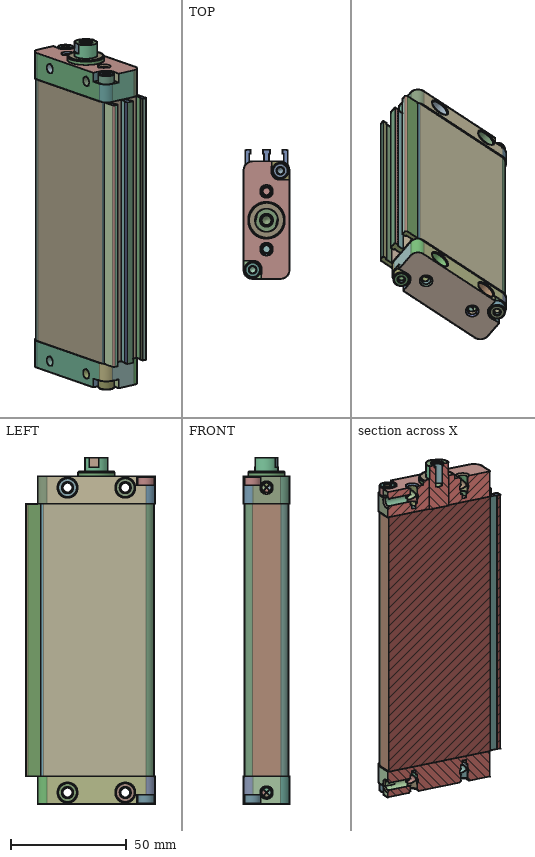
import cadquery as cq
import math

body_length = 142.0
cap_width = 20.0
cap_depth = 50.9
cap_height = 12.0
corner_radius = 4.0
barrel_inset_x = 0.4
barrel_inset_y = 0.5

rail_top_y = 30.55
rail_lip_height = 1.8
rail_side_stem_x = 7.4
rail_side_lip_x = 6.9
rail_side_inset = 0.3
rail_side_radius = 0.8
slot_floor_rise = 0.2
rail_base_y = 23.1
rail_foot_y = 24.0
rail_centre_stem_width = 2.2
rail_centre_lip_width = 3.2

pocket_depth = 4.0
pocket_radius = 4.0
pocket_wall_tilt = 6.0
screw_head_diameter = 7.0
screw_head_height = 4.0
screw_head_chamfer = 0.4
screw_hole_diameter = 3.0
screw_hole_mouth = 3.4
screw_hole_depth = 2.0

thread_diameter = 4.13
thread_mouth = 5.6
side_hole_mouth = 5.0
drill_point_angle = 118.0
hole_offset_y = 12.5
hole_height = 5.0
cap_hole_depth = 8.0
cap_hole_tip_diameter = 3.3
cap_hole_tip_depth = 10.0
counterbore_diameter = 8.0
counterbore_mouth = 8.8
counterbore_depth = 4.3

collar_diameter = 16.0
collar_height = 2.0
collar_chamfer = 0.5
rod_diameter = 10.0
rod_projection = 8.0
rod_hole_depth = 10.0
rod_thread_mouth = 5.7
rod_relief_diameter = 5.0
rod_relief_depth = 1.0
flat_size = 9.0
flat_length = 4.2
flat_turn = -13.5

screw_x = cap_width / 2 - corner_radius
screw_y = cap_depth / 2 - corner_radius
barrel_length = body_length - 2 * cap_height
rod_top = body_length + rod_projection


def countersunk_hole(diameter, mouth, depth, point_angle=None):
    """Cutter opening at Z = 0 and running down -Z, with an optional 45 degree mouth and drill point."""
    radius = diameter / 2
    mouth_radius = mouth / 2
    outline = (
        cq.Workplane("XZ")
        .moveTo(0, 0)
        .lineTo(mouth_radius, 0)
    )
    if mouth > diameter:
        outline = outline.lineTo(radius, radius - mouth_radius)
    outline = outline.lineTo(radius, -depth)
    point = radius / math.tan(math.radians(point_angle / 2)) if point_angle else 0
    return outline.lineTo(0, -depth - point).close().revolve(360, (0, 0, 0), (0, 1, 0))


def corner_pocket():
    """Cutter for a pocket round a screw on the Z axis, open towards +X and +Y, below Z = 0."""
    reach = 2 * corner_radius
    tilt = math.radians(pocket_wall_tilt)
    tangent_x = -pocket_radius * math.cos(tilt)
    tangent_y = pocket_radius * math.sin(tilt)
    tilted_end = (tangent_x + reach * math.sin(tilt), tangent_y + reach * math.cos(tilt))
    middle = math.radians(pocket_wall_tilt / 2 - 45)
    return (
        cq.Workplane("XY")
        .moveTo(0, -pocket_radius)
        .lineTo(reach, -pocket_radius)
        .lineTo(reach, reach)
        .lineTo(*tilted_end)
        .lineTo(tangent_x, tangent_y)
        .threePointArc(
            (-pocket_radius * math.cos(middle), pocket_radius * math.sin(middle)),
            (0, -pocket_radius),
        )
        .close()
        .extrude(-pocket_depth)
    )


def screw_head():
    """Screw head standing on a pocket floor, the cap's outer face being Z = 0."""
    head = (
        cq.Workplane("XY")
        .workplane(offset=-pocket_depth)
        .circle(screw_head_diameter / 2)
        .extrude(screw_head_height)
        .faces(">Z")
        .chamfer(screw_head_chamfer)
    )
    socket = countersunk_hole(screw_hole_diameter, screw_hole_mouth, screw_hole_depth, drill_point_angle)
    return head.cut(socket.translate((0, 0, screw_head_height - pocket_depth)))


def make_cap():
    """End cap with its screw heads and holes; the outer end face is Z = 0 and the cap lies below it."""
    cap = (
        cq.Workplane("XY")
        .rect(cap_width, cap_depth)
        .extrude(-cap_height)
        .edges("|Z")
        .fillet(corner_radius)
    )
    screw_place = (screw_x, screw_y, 0)
    for turn in (0, 180):
        cap = cap.cut(corner_pocket().translate(screw_place).rotate((0, 0, 0), (0, 0, 1), turn))
        cap = cap.union(screw_head().translate(screw_place).rotate((0, 0, 0), (0, 0, 1), turn))

    end_hole = countersunk_hole(thread_diameter, thread_mouth, cap_hole_depth).union(
        cq.Workplane("XY").circle(cap_hole_tip_diameter / 2).extrude(-cap_hole_tip_depth)
    )
    side_hole = (
        countersunk_hole(counterbore_diameter, counterbore_mouth, counterbore_depth)
        .union(
            countersunk_hole(thread_diameter, side_hole_mouth, cap_width)
            .translate((0, 0, -counterbore_depth))
        )
        .rotate((0, 0, 0), (0, 1, 0), -90)
    )
    for y in (-hole_offset_y, hole_offset_y):
        cap = cap.cut(end_hole.translate((0, y, 0)))
        cap = cap.cut(side_hole.translate((-cap_width / 2, y, -hole_height)))

    port = (
        countersunk_hole(thread_diameter, thread_mouth, cap_depth / 2 - hole_offset_y)
        .rotate((0, 0, 0), (1, 0, 0), 90)
    )
    return cap.cut(port.translate((0, -cap_depth / 2, -hole_height)))


def make_front_cap():
    """Upper cap: adds the bearing collar and the bore for the rod."""
    collar = (
        cq.Workplane("XY")
        .circle(collar_diameter / 2)
        .extrude(collar_height)
        .faces(">Z")
        .chamfer(collar_chamfer)
    )
    bore = (
        cq.Workplane("XY")
        .workplane(offset=-cap_height)
        .circle(rod_diameter / 2)
        .extrude(cap_height + collar_height)
    )
    return make_cap().union(collar).cut(bore).translate((0, 0, body_length))


def make_rear_cap():
    """Lower cap: the common cap mirrored so that its outer face is the underside."""
    return make_cap().mirror("XY")


def make_barrel():
    """Barrel extrusion with three rails that form two sensor slots along +Y."""
    half_width = cap_width / 2 - barrel_inset_x
    half_depth = cap_depth / 2 - barrel_inset_y
    radius = corner_radius - barrel_inset_y
    rail_x = half_width - rail_side_inset
    slot_floor_y = cap_depth / 2 + slot_floor_rise
    lip_y = rail_top_y - rail_lip_height
    stem_x = rail_centre_stem_width / 2
    lip_x = rail_centre_lip_width / 2
    diagonal = radius * (1 - math.sqrt(0.5))
    right_half = (
        cq.Workplane("XY")
        .workplane(offset=cap_height)
        .moveTo(0, -half_depth)
        .lineTo(half_width - radius, -half_depth)
        .threePointArc(
            (half_width - diagonal, -half_depth + diagonal),
            (half_width, -half_depth + radius),
        )
        .lineTo(half_width, rail_base_y)
        .tangentArcPoint((rail_x, rail_foot_y), relative=False)
        .lineTo(rail_x, rail_top_y - rail_side_radius)
        .tangentArcPoint((rail_x - rail_side_radius, rail_top_y), relative=False)
        .lineTo(rail_side_lip_x, rail_top_y)
        .lineTo(rail_side_lip_x, lip_y)
        .lineTo(rail_side_stem_x, lip_y)
        .lineTo(rail_side_stem_x, slot_floor_y)
        .lineTo(stem_x, slot_floor_y)
        .lineTo(stem_x, lip_y)
        .lineTo(lip_x, lip_y)
        .lineTo(lip_x, rail_top_y)
        .lineTo(0, rail_top_y)
        .close()
        .extrude(barrel_length)
    )
    return right_half.union(right_half.mirror("YZ"))


def make_rod():
    """Piston rod end with a threaded hole and two wrench flats, seated on the barrel."""
    seat = body_length - cap_height
    rod = (
        cq.Workplane("XY")
        .workplane(offset=seat)
        .circle(rod_diameter / 2)
        .extrude(rod_top - seat)
    )
    for side in (-1, 1):
        cutter = (
            cq.Workplane("XY")
            .box(rod_diameter, rod_diameter, flat_length)
            .translate((side * (flat_size + rod_diameter) / 2, 0, rod_top - flat_length / 2))
            .rotate((0, 0, 0), (0, 0, 1), flat_turn)
        )
        rod = rod.cut(cutter)
    thread = countersunk_hole(thread_diameter, thread_diameter, rod_hole_depth, drill_point_angle)
    relief = countersunk_hole(rod_relief_diameter, rod_thread_mouth, rod_relief_depth)
    thread = thread.union(relief)
    return rod.cut(thread.translate((0, 0, rod_top)))


front_cap = make_front_cap()
rear_cap = make_rear_cap()
barrel = make_barrel()
rod = make_rod()

result = cq.Compound.makeCompound([front_cap.val(), rear_cap.val(), barrel.val(), rod.val()])